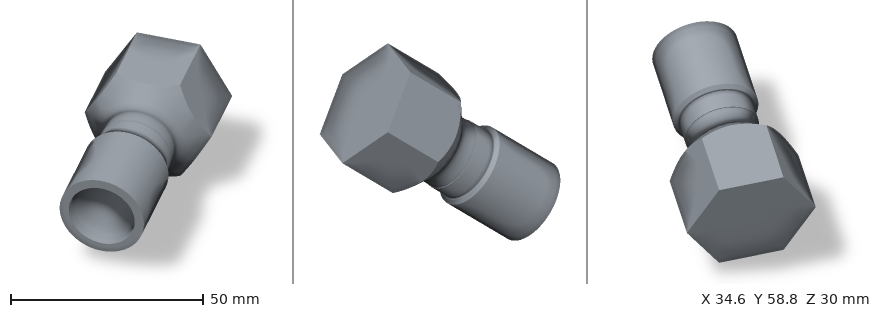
import cadquery as cq
import math

total_length = 58.75
hex_across_flats = 30.0
hex_across_corners = hex_across_flats / math.cos(math.pi / 6)
neck_diameter = 19.5
collar_diameter = 20.0
sleeve_diameter = 23.0
bore_diameter = 18.0

sleeve_length = 22.55
sleeve_chamfer = 0.95
collar_length = 5.7
neck_length = 4.95
bore_depth = sleeve_length

collar_end = sleeve_length + collar_length
neck_end = collar_end + neck_length
cone_end = neck_end + (hex_across_corners - neck_diameter) / 2


def round_bar(diameter, start, end):
    """Cylinder on the part's axis between two Y positions."""
    plane = cq.Workplane("XZ", origin=(0, start, 0))
    return plane.circle(diameter / 2).extrude(start - end)


def make_hexagon():
    """Hexagon with corners on the X axis, its inner end turned to a 45 degree cone."""
    prism = (
        cq.Workplane("XZ", origin=(0, neck_end, 0))
        .polygon(6, hex_across_corners)
        .extrude(neck_end - total_length)
    )
    envelope = (
        cq.Workplane("XY")
        .moveTo(0, neck_end)
        .lineTo(neck_diameter / 2, neck_end)
        .lineTo(hex_across_corners / 2, cone_end)
        .lineTo(hex_across_corners / 2, total_length)
        .lineTo(0, total_length)
        .close()
        .revolve(360, (0, 0, 0), (0, 1, 0))
    )
    return prism.intersect(envelope)


def make_sleeve():
    """Plain sleeve, chamfered at the collar end."""
    return round_bar(sleeve_diameter, 0, sleeve_length).faces(">Y").chamfer(sleeve_chamfer)


collar = round_bar(collar_diameter, sleeve_length, collar_end)
neck = round_bar(neck_diameter, collar_end, neck_end)
bore = round_bar(bore_diameter, 0, bore_depth)

result = make_sleeve().union(collar).union(neck).union(make_hexagon()).cut(bore)